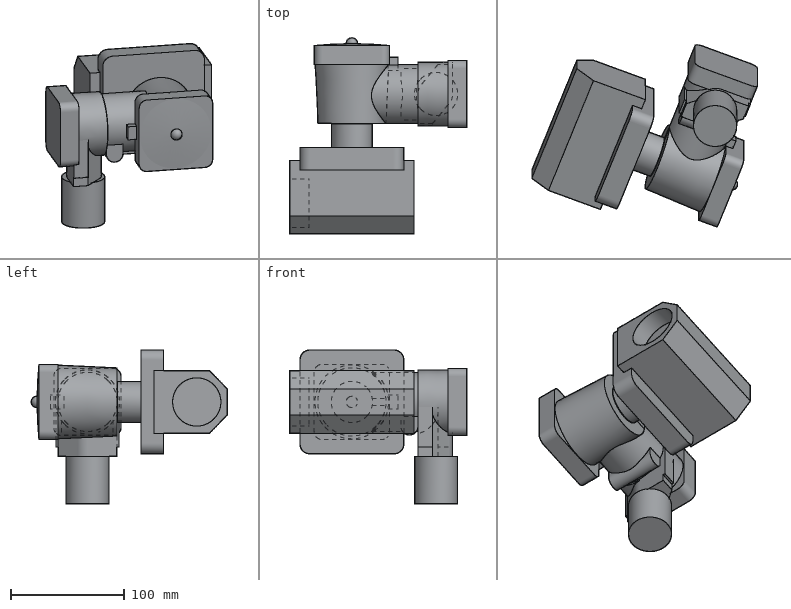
import cadquery as cq
import math


block_length = 110.1
block_height = 55.5
block_front_y = -123.6
block_back_y = -58.6
bevel_depth = 15.8
bevel_height = 16.3
socket_radius = 21.3
socket_depth = 17.3
socket_y = -96.5
plate_size = 91.9
plate_corner_radius = 8.8
plate_front_y = -67.3
plate_back_y = -47.2
shaft_radius = 18.2

arm_radius = 26.2
arm_end_x = 58.3
tab_radius = 7.5
tab_half_depth = 22.7
tab_end_z = -21.8

nose_length = 0.5
barrel_half_length = 26.0
barrel_front_radius = 30.2
barrel_back_radius = 32.6
cover_corner_radius = 7.1
barrel_cover_size = 66.5
barrel_cover_thickness = 17.0
dome_radius = 32.3
dome_height = 1.5
button_radius = 5.0
button_rim_y = 45.6
button_height = 4.2
lug_inner_x = 24.3
lug_outer_x = 41.0
lug_inner_y = 20.8
lug_outer_y = 32.6
lug_half_height = 6.0

collar_length = 26.5
collar_start_radius = 28.3
collar_end_radius = 28.5
collar_cover_size = 59.5
collar_cover_thickness = 16.8
neck_width = 30.7
neck_half_depth = 26.0
neck_bottom_z = -48.2
neck_flat_width = 13.0
neck_arc_half_chord = 9.2
neck_arc_sagitta = 3.8
pad_half_depth = 28.0
pad_bottom_z = -39.9

tube_radius = 19.0
tube_center_x = 74.4
tube_length = 41.8

barrel_nose_y = -barrel_half_length - nose_length
barrel_cover_back_y = barrel_half_length + barrel_cover_thickness
collar_end_x = arm_end_x + collar_length
neck_center_x = arm_end_x + neck_width / 2


def cylinder(radius, length, start, direction):
    return cq.Workplane(cq.Solid.makeCylinder(radius, length, cq.Vector(*start), cq.Vector(*direction)))


def cone(start_radius, end_radius, length, start, direction):
    solid = cq.Solid.makeCone(start_radius, end_radius, length, cq.Vector(*start), cq.Vector(*direction))
    return cq.Workplane(solid)


def box_between(low, high):
    size = [b - a for a, b in zip(low, high)]
    return cq.Workplane().box(*size, centered=False).translate(low)


def rounded_square(size, thickness, corner_radius, axis):
    """Square slab centred on the origin, with its four edges along the axis rounded."""
    dimensions = {"X": (thickness, size, size), "Y": (size, thickness, size)}[axis]
    return cq.Workplane().box(*dimensions).edges("|" + axis).fillet(corner_radius)


def make_tool():
    half_height = block_height / 2
    bevel_y = block_front_y + bevel_depth
    outline = [
        (block_back_y, -half_height),
        (bevel_y, -half_height),
        (block_front_y, bevel_height - half_height),
        (block_front_y, half_height - bevel_height),
        (bevel_y, half_height),
        (block_back_y, half_height),
    ]
    block = cq.Workplane("YZ").polyline(outline).close().extrude(block_length / 2, both=True)
    plate_thickness = plate_back_y - plate_front_y
    plate = rounded_square(plate_size, plate_thickness, plate_corner_radius, "Y")
    plate = plate.translate((0, (plate_front_y + plate_back_y) / 2, 0))
    socket = cylinder(socket_radius, socket_depth, (-block_length / 2, socket_y, 0), (1, 0, 0))
    shaft = cylinder(shaft_radius, barrel_nose_y - plate_back_y, (0, plate_back_y, 0), (0, 1, 0))
    return block.union(plate).union(shaft).cut(socket)


def dome_cap(radius, height, base_y):
    """Spherical cap on the Y axis that bulges toward +Y from a round base."""
    sphere_radius = (radius**2 + height**2) / (2 * height)
    half_angle = math.asin(radius / sphere_radius) / 2
    center_y = base_y + height - sphere_radius
    arc_middle = (sphere_radius * math.sin(half_angle), center_y + sphere_radius * math.cos(half_angle))
    profile = (
        cq.Workplane("XY")
        .moveTo(0, base_y)
        .lineTo(radius, base_y)
        .threePointArc(arc_middle, (0, base_y + height))
        .close()
    )
    return profile.revolve(360, (0, 0, 0), (0, 1, 0))


def make_barrel_cover():
    """Square cover with a shallow dome and a round-topped button on its back."""
    slab = rounded_square(barrel_cover_size, barrel_cover_thickness, cover_corner_radius, "Y")
    slab = slab.translate((0, barrel_half_length + barrel_cover_thickness / 2, 0))
    dome = dome_cap(dome_radius, dome_height, barrel_cover_back_y)
    button_foot = cylinder(
        button_radius,
        button_rim_y - barrel_cover_back_y,
        (0, barrel_cover_back_y, 0),
        (0, 1, 0),
    )
    button_top = dome_cap(button_radius, button_height, button_rim_y)
    return slab.union(dome).union(button_foot).union(button_top)


def make_upper_joint():
    barrel = cone(
        barrel_front_radius,
        barrel_back_radius,
        2 * barrel_half_length,
        (0, -barrel_half_length, 0),
        (0, 1, 0),
    )
    nose = cylinder(shaft_radius, nose_length, (0, barrel_nose_y, 0), (0, 1, 0))
    lug = box_between(
        (lug_inner_x, lug_inner_y, -lug_half_height),
        (lug_outer_x, lug_outer_y, lug_half_height),
    )
    return barrel.union(nose).union(make_barrel_cover()).union(lug)


def make_arm(joint):
    """Arm and tab, cut to fit against the upper joint."""
    bar = cylinder(arm_radius, arm_end_x, (0, 0, 0), (1, 0, 0))
    tab_center_x = arm_end_x - tab_radius
    tab_end = cylinder(
        tab_radius,
        2 * tab_half_depth,
        (tab_center_x, -tab_half_depth, tab_end_z),
        (0, 1, 0),
    )
    tab = box_between(
        (tab_center_x - tab_radius, -tab_half_depth, tab_end_z),
        (tab_center_x + tab_radius, tab_half_depth, 0),
    )
    return bar.union(tab).union(tab_end).cut(joint)


def make_neck():
    """Prism whose outline is unchanged by half a turn: two square and two slanted, rounded corners."""
    half_width = neck_width / 2
    flat_end_x = neck_flat_width - half_width
    arc_end_x = half_width - neck_arc_sagitta
    arc_radius = (neck_arc_half_chord**2 + neck_arc_sagitta**2) / (2 * neck_arc_sagitta)
    half_angle = math.asin(neck_arc_half_chord / arc_radius) / 2
    arc_middle_x = half_width - arc_radius * (1 - math.cos(half_angle))
    arc_middle_y = arc_radius * math.sin(half_angle)
    outline = (
        cq.Workplane("XY")
        .moveTo(-half_width, 0)
        .lineTo(-half_width, -neck_half_depth)
        .lineTo(flat_end_x, -neck_half_depth)
        .lineTo(arc_end_x, -neck_arc_half_chord)
        .threePointArc((arc_middle_x, -arc_middle_y), (half_width, 0))
        .lineTo(half_width, neck_half_depth)
        .lineTo(-flat_end_x, neck_half_depth)
        .lineTo(-arc_end_x, neck_arc_half_chord)
        .threePointArc((-arc_middle_x, arc_middle_y), (-half_width, 0))
        .close()
    )
    neck = outline.extrude(neck_bottom_z)
    pad = box_between(
        (-half_width, -pad_half_depth, pad_bottom_z),
        (flat_end_x, -neck_half_depth, 0),
    )
    for angle in (0, 180):
        neck = neck.union(pad.rotate((0, 0, 0), (0, 0, 1), angle))
    return neck.translate((neck_center_x, 0, 0))


def make_lower_joint():
    collar = cone(collar_start_radius, collar_end_radius, collar_length, (arm_end_x, 0, 0), (1, 0, 0))
    cover = rounded_square(collar_cover_size, collar_cover_thickness, cover_corner_radius, "X")
    cover = cover.translate((collar_end_x + collar_cover_thickness / 2, 0, 0))
    return collar.union(cover).union(make_neck())


def make_tube():
    return cylinder(tube_radius, tube_length, (tube_center_x, 0, neck_bottom_z), (0, 0, -1))


tool = make_tool()
upper_joint = make_upper_joint()
arm = make_arm(upper_joint)
lower_joint = make_lower_joint()
tube = make_tube()

bodies = [tool, upper_joint, arm, lower_joint, tube]
result = cq.Compound.makeCompound([body.solids().val() for body in bodies])